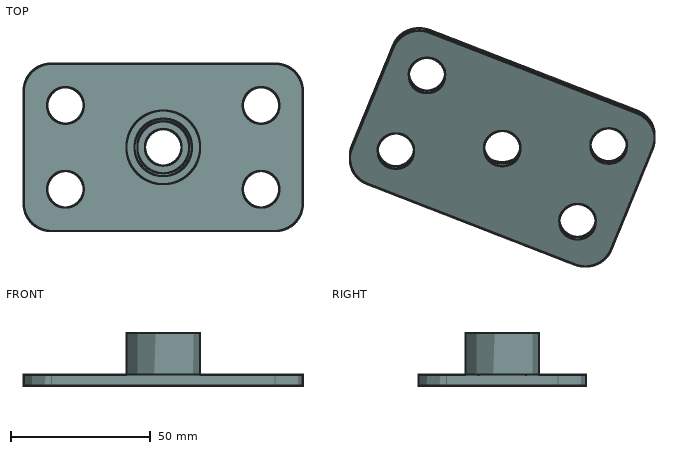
import cadquery as cq

plate_length = 100.0
plate_width = 60.0
plate_thickness = 4.0
corner_radius = 10.0

mounting_hole_diameter = 13.0
hole_edge_distance = 15.0
hole_spacing_x = plate_length - 2 * hole_edge_distance
hole_spacing_y = plate_width - 2 * hole_edge_distance

total_height = 19.0
socket_height = total_height - plate_thickness
socket_outer_diameter = 26.4
socket_bore_diameter = 18.6
socket_bore_depth = socket_height
mouth_chamfer = 1.0
through_hole_diameter = 13.0


def make_plate():
    """Rounded rectangular plate, centred in X and Y, standing on Z = 0."""
    return (
        cq.Workplane("XY")
        .rect(plate_length, plate_width)
        .extrude(plate_thickness)
        .edges("|Z")
        .fillet(corner_radius)
    )


def make_boss():
    """Solid cylinder on the middle of the plate."""
    return (
        cq.Workplane("XY")
        .workplane(offset=plate_thickness)
        .circle(socket_outer_diameter / 2)
        .extrude(socket_height)
    )


def make_socket_cutter():
    """Revolved stepped bore: through hole, wider bore and chamfered mouth."""
    hole_radius = through_hole_diameter / 2
    bore_radius = socket_bore_diameter / 2
    bore_floor = total_height - socket_bore_depth
    return (
        cq.Workplane("XZ")
        .moveTo(0, 0)
        .lineTo(hole_radius, 0)
        .lineTo(hole_radius, bore_floor)
        .lineTo(bore_radius, bore_floor)
        .lineTo(bore_radius, total_height - mouth_chamfer)
        .lineTo(bore_radius + mouth_chamfer, total_height)
        .lineTo(0, total_height)
        .close()
        .revolve(360, (0, 0), (0, 1))
    )


def make_mounting_hole_cutters():
    """Four cylinders on a rectangular pattern through the plate."""
    return (
        cq.Workplane("XY")
        .rect(hole_spacing_x, hole_spacing_y, forConstruction=True)
        .vertices()
        .circle(mounting_hole_diameter / 2)
        .extrude(plate_thickness)
    )


result = (
    make_plate()
    .union(make_boss())
    .cut(make_socket_cutter())
    .cut(make_mounting_hole_cutters())
)